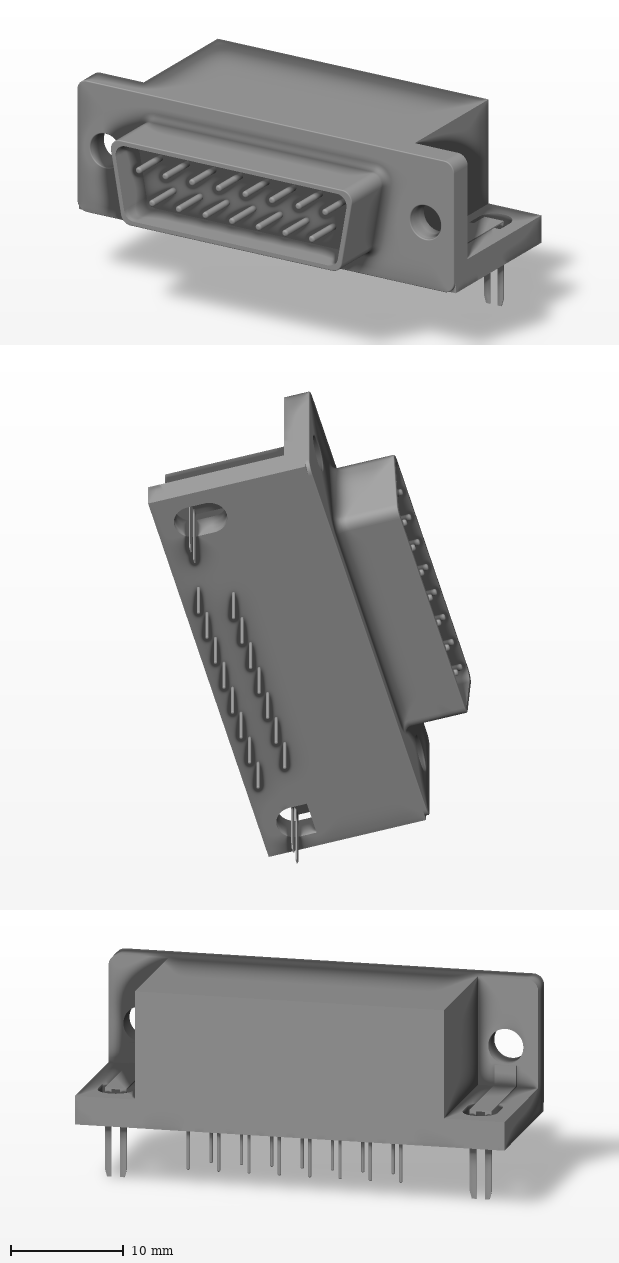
import cadquery as cq
import math


width = 39.2
length = 20.64
housing_height = 12.5
front_corner_radius = 1.0
shell_length = 5.8
back_y = length - shell_length
mid_z = housing_height / 2

block_width = 28.2
foot_length = 12.5
foot_height = 2.6
flange_back_y = back_y - foot_length

plate_thickness = 0.35
plate_edge_radius = 0.1

screw_x = 16.65
screw_hole_diameter = 3.2

shell_width = 25.1
shell_height = 7.9
shell_corner_radius = 1.0
shell_slant = math.radians(10)
shell_wall = 0.45
pocket_corner_radius = 1.0
shell_base_radius = 0.6
shell_tip_radius = 0.1
pocket_depth = 3.8

contacts_top_row = 8
contacts_bottom_row = 7
contact_pitch = 2.77
row_spacing = 2.84
contact_diameter = 0.6
contact_tip_diameter = 0.2
tail_diameter = 0.3
tail_tip_diameter = 0.04
tail_length = 4.0
tail_mid_y = back_y - 3.25
contact_root_depth = 1.0

strip_width = 2.0
strip_thickness = 0.12
strip_upright_thickness = 0.2
strip_upright_height = 1.95
leg_width = 0.6
leg_length = 5.4
leg_taper_width = 0.2
leg_taper_height = 0.72
slot_width = 3.2
slot_straight = 1.6
slot_back_center_y = back_y - 3.2


def box(x_min, x_max, y_min, y_max, z_min, z_max):
    """Axis-aligned box between the given limits."""
    size = (x_max - x_min, y_max - y_min, z_max - z_min)
    return cq.Workplane("XY").box(*size, centered=False).translate((x_min, y_min, z_min))


def cylinder_along_y(x, y_min, y_max, z, diameter):
    """Cylinder whose axis is parallel to Y."""
    disc = cq.Workplane("XZ", origin=(x, y_min, z)).circle(diameter / 2)
    return disc.extrude(y_min - y_max)


def rounded_pin(diameter, tip_diameter, pin_length):
    """Pin along -Z from the origin whose end is rounded down to the tip diameter."""
    pin = cq.Workplane("XY").circle(diameter / 2).extrude(-pin_length)
    return pin.faces("<Z").edges().fillet((diameter - tip_diameter) / 2)


def drill_screw_holes(body):
    """Cut both screw holes through a flat body."""
    for x in (-screw_x, screw_x):
        body = body.cut(cylinder_along_y(x, 0, flange_back_y, mid_z, screw_hole_diameter))
    return body


def make_housing():
    """Central block, low side feet and the full-width front flange."""
    half_block = block_width / 2
    half_width = width / 2
    block = box(-half_block, half_block, flange_back_y, back_y, 0, housing_height)
    feet = box(-half_width, half_width, flange_back_y, back_y, 0, foot_height)
    flange = box(-half_width, half_width, plate_thickness, flange_back_y, 0, housing_height)
    flange = drill_screw_holes(flange)
    flange = flange.edges("|Y and >Z").fillet(front_corner_radius)
    return block.union(flange).union(feet)


def d_outline(inset, radius):
    """Shell outline moved inwards by `inset`, with corners of the given radius.

    The trapezoid through the corner centres is grown by the radius.
    """
    upper_half_angle = (math.pi / 2 - shell_slant) / 2
    tangent_length = shell_corner_radius / math.tan(upper_half_angle)
    sharp_half_width = shell_width / 2 - shell_corner_radius + tangent_length
    half_height = shell_height / 2 - inset - radius
    half_top = sharp_half_width - (inset + radius) / math.tan(upper_half_angle)
    half_bottom = half_top - 2 * half_height * math.tan(shell_slant)
    corners = [
        (-half_top, half_height),
        (half_top, half_height),
        (half_bottom, -half_height),
        (-half_bottom, -half_height),
    ]
    front_plane = cq.Workplane("XZ", origin=(0, 0, mid_z))
    return front_plane.polyline(corners).close().offset2D(radius)


def make_plate_and_shell():
    """Metal plate with the solid D plug standing on its front face."""
    plate = box(-width / 2, width / 2, 0, plate_thickness, 0, housing_height)
    plate = plate.edges("|Y").fillet(front_corner_radius)
    plate = drill_screw_holes(plate)
    plate = plate.faces("<Y").edges().fillet(plate_edge_radius)
    plug = d_outline(0, shell_corner_radius).extrude(shell_length)
    plug = plug.faces("<Y").edges().fillet(shell_tip_radius)
    margin = plate_edge_radius / 2
    around_base = cq.selectors.BoxSelector(
        (-shell_width / 2 - margin, -margin, mid_z - shell_height / 2 - margin),
        (shell_width / 2 + margin, margin, mid_z + shell_height / 2 + margin),
        boundingbox=True,
    )
    return plate.union(plug).edges(around_base).fillet(shell_base_radius)


def make_pocket():
    """Hollow of the shell, open at the front."""
    pocket = d_outline(shell_wall, pocket_corner_radius).extrude(pocket_depth)
    return pocket.translate((0, pocket_depth - shell_length, 0))


def make_slots():
    """Bracket slots: both ends round on the left foot, the front end square on the right foot."""
    front_center_y = slot_back_center_y - slot_straight
    slots = cq.Workplane("XY")
    for x in (-screw_x, screw_x):
        half = slot_width / 2
        slots = slots.add(box(x - half, x + half, front_center_y, slot_back_center_y, 0, foot_height))
        round_end = cq.Workplane("XY").circle(half).extrude(foot_height)
        slots = slots.add(round_end.translate((x, slot_back_center_y, 0)))
        if x < 0:
            slots = slots.add(round_end.translate((x, front_center_y, 0)))
    return slots.combine()


def make_bracket():
    """Bent strip centred on X = 0: upright, flat run over the foot and two legs."""
    half = strip_width / 2
    top_z = foot_height + strip_thickness
    leg_back_y = tail_mid_y + strip_thickness / 2
    upright_top = foot_height + strip_upright_height
    upright_back_y = flange_back_y + strip_upright_thickness
    upright = box(-half, half, flange_back_y, upright_back_y, foot_height, upright_top)
    run = box(-half, half, flange_back_y, leg_back_y, foot_height, top_z)
    bracket = upright.union(run)
    for side in (-1, 1):
        leg = (
            cq.Workplane("XZ", origin=(0, leg_back_y, 0))
            .moveTo(side * half, top_z)
            .lineTo(side * half, leg_taper_height - leg_length)
            .lineTo(side * (half - leg_taper_width), -leg_length)
            .lineTo(side * (half - leg_width), -leg_length)
            .lineTo(side * (half - leg_width), top_z)
            .close()
            .extrude(strip_thickness)
        )
        bracket = bracket.union(leg)
    return bracket


def make_contacts():
    """Two rows of contacts in the shell, each with a solder tail below the housing."""
    front_y = -shell_length
    floor_y = pocket_depth - shell_length
    root_y = floor_y + contact_root_depth
    contact = rounded_pin(contact_diameter, contact_tip_diameter, root_y - front_y)
    contact = contact.rotate((0, 0, 0), (1, 0, 0), -90).translate((0, root_y, 0))
    tail = rounded_pin(tail_diameter, tail_tip_diameter, tail_length + contact_root_depth)
    tail = tail.translate((0, 0, contact_root_depth))
    contacts = []
    for count, side in ((contacts_top_row, 1), (contacts_bottom_row, -1)):
        z = mid_z + side * row_spacing / 2
        y = tail_mid_y + side * row_spacing / 2
        for index in range(count):
            x = (index - (count - 1) / 2) * contact_pitch
            contacts.append(contact.translate((x, 0, z)))
            contacts.append(tail.translate((x, y, 0)))
    return contacts


result = make_housing().union(make_plate_and_shell())
result = result.cut(make_pocket()).cut(make_slots())
bracket = make_bracket()
for x in (-screw_x, screw_x):
    result = result.union(bracket.translate((x, 0, 0)))
for contact in make_contacts():
    result = result.union(contact)